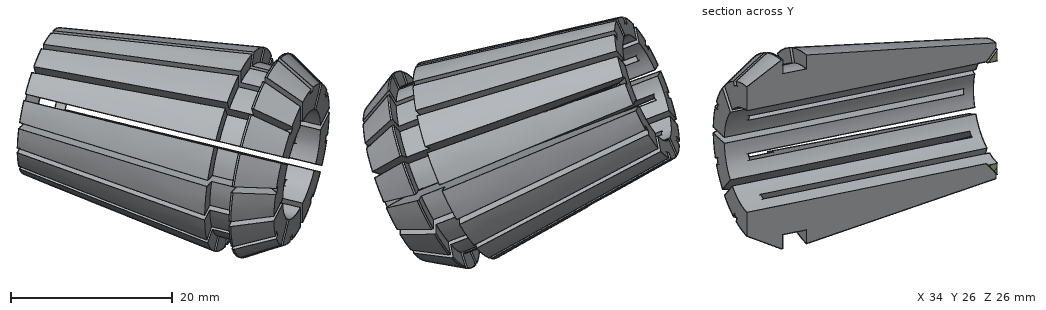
import cadquery as cq
import math

length = 34.0
max_radius = 13.0
bore_radius = 7.0

taper_length = 25.87
taper_angle = 8.0
groove_width = 3.2
groove_radius = 11.1
land_width = 0.25
lock_angle = 30.0

slot_count = 8
slot_pitch = 360.0 / slot_count
slot_width = 0.8
slot_reach = 13.6

disc_radius = 20.0
narrow_bridge_radius = 8.6
narrow_bridge_slope = 53.0
wide_bridge_radius = 9.72
wide_bridge_slope = 47.0


def make_body():
    """Double-tapered sleeve revolved about X."""
    groove_end = taper_length + groove_width
    lock_start = groove_end + land_width
    narrow_radius = max_radius - taper_length * math.tan(math.radians(taper_angle))
    wide_end_radius = max_radius - (length - lock_start) * math.tan(math.radians(lock_angle))
    return (
        cq.Workplane("XY")
        .moveTo(0, bore_radius)
        .lineTo(0, narrow_radius)
        .lineTo(taper_length, max_radius)
        .lineTo(taper_length, groove_radius)
        .lineTo(groove_end, groove_radius)
        .lineTo(groove_end, max_radius)
        .lineTo(lock_start, max_radius)
        .lineTo(length, wide_end_radius)
        .lineTo(length, bore_radius)
        .close()
        .revolve(360, (0, 0, 0), (1, 0, 0))
    )


def make_slot(bridge_radius, bridge_slope):
    """Radial slot whose closed end, at X = 0, curves from the face down into the bore."""
    slope = math.radians(bridge_slope)

    def disc_point(angle):
        """Point of the disc rim where the rim slopes at the given angle to the axis."""
        axial = disc_radius * (math.sin(slope) - math.sin(angle))
        radial = bridge_radius + disc_radius * (math.cos(slope) - math.cos(angle))
        return axial, radial

    return (
        cq.Workplane("XY")
        .moveTo(*disc_point(slope))
        .threePointArc(disc_point(slope / 2), disc_point(0))
        .lineTo(length, disc_point(0)[1])
        .lineTo(length, slot_reach)
        .lineTo(0, slot_reach)
        .close()
        .extrude(slot_width / 2, both=True)
    )


def cut_around(body, cutter, start_angle):
    """Cut the same slot at every pitch position around the axis."""
    for index in range(slot_count):
        angle = start_angle + index * slot_pitch
        body = body.cut(cutter.rotate((0, 0, 0), (1, 0, 0), angle))
    return body


narrow_closed_slot = make_slot(narrow_bridge_radius, narrow_bridge_slope)
sleeve = cut_around(make_body(), narrow_closed_slot, 0)

wide_closed_slot = make_slot(wide_bridge_radius, wide_bridge_slope)
wide_closed_slot = wide_closed_slot.mirror("YZ").translate((length, 0, 0))
result = cut_around(sleeve, wide_closed_slot, slot_pitch / 2)